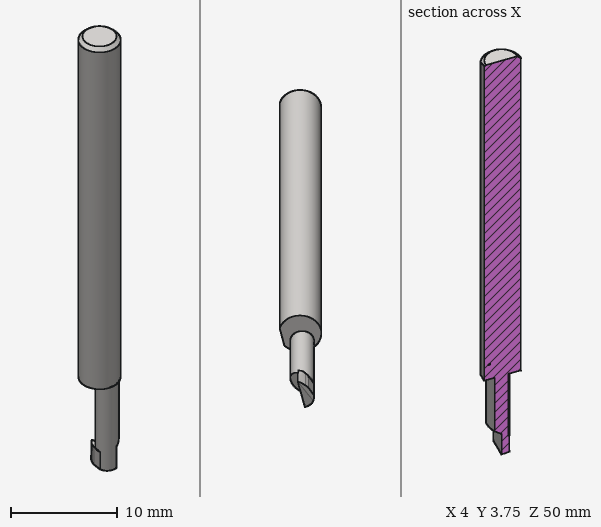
import cadquery as cq

total_length = 50.0
shank_radius = 2.0
shank_bottom = 10.0
flat_offset = 1.75
chamfer_width = 0.4

neck_diameter = 2.25
neck_radius = neck_diameter / 2
neck_x = shank_radius - neck_radius

rake_bottom_of_slope = 2.65
rake_top_of_slope = 3.55

head_top = 2.2
tip_reach = 1.0
top_reach = 0.85
flank_mid = (-0.7, -0.35)
flank_end = (-0.4, -0.6)
heel_start = (-0.1, -0.8)
heel_end = (neck_x, -neck_radius)

end_rise = 0.15


def make_shank():
    bar = (
        cq.Workplane("XY", origin=(0, 0, shank_bottom))
        .circle(shank_radius)
        .extrude(total_length - shank_bottom)
        .faces(">Z")
        .chamfer(chamfer_width)
    )
    beyond_flat = cq.Workplane("XY").box(
        2 * shank_radius, shank_radius, total_length, centered=(True, False, False)
    )
    return bar.cut(beyond_flat.translate((0, flat_offset, 0)))


def make_neck():
    return cq.Workplane("XY").center(neck_x, 0).circle(neck_radius).extrude(shank_bottom)


def draw_head_outline(workplane, reach):
    """Outline behind the rake face: curved flank, short facet, then the broad heel flat."""
    return (
        workplane.moveTo(-reach, 0)
        .threePointArc(flank_mid, flank_end)
        .lineTo(*heel_start)
        .lineTo(*heel_end)
        .lineTo(heel_end[0], 0)
        .close()
    )


def make_head():
    bottom = draw_head_outline(cq.Workplane("XY"), tip_reach)
    return draw_head_outline(bottom.workplane(offset=head_top), top_reach).loft(ruled=True)


def make_heel_cut():
    """Trims the neck back to the heel flat over the height of the head."""
    return (
        cq.Workplane("XY")
        .polyline([heel_start, heel_end, (heel_start[0], heel_end[1])])
        .close()
        .extrude(head_top)
    )


def make_rake_cut():
    return (
        cq.Workplane("YZ")
        .polyline([
            (0, 0),
            (0, rake_bottom_of_slope),
            (neck_radius, rake_top_of_slope),
            (2 * neck_radius, rake_top_of_slope),
            (2 * neck_radius, 0),
        ])
        .close()
        .extrude(shank_radius, both=True)
    )


def make_end_relief(plane, start, end):
    """Wedge under the tool end, from zero height at start to end_rise at end."""
    return (
        cq.Workplane(plane)
        .polyline([(start, 0), (end, end_rise), (end, 0)])
        .close()
        .extrude(2 * shank_radius, both=True)
    )


result = (
    make_shank()
    .union(make_neck().cut(make_rake_cut()))
    .union(make_head())
    .cut(make_heel_cut())
    .cut(make_end_relief("XZ", -tip_reach, shank_radius))
    .cut(make_end_relief("YZ", 0, heel_end[1]))
)